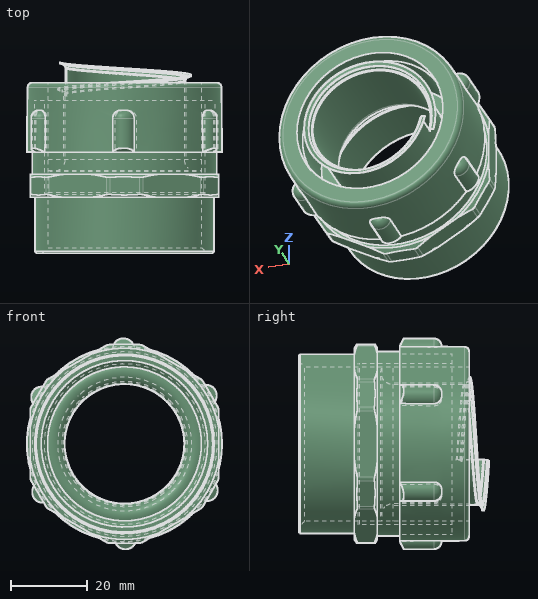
import cadquery as cq
import math


spigot_dia = 46.9
spigot_chamfer_radial = 0.4
spigot_chamfer_axial = 0.5
bore_dia = 40.25
mouth_dia = 43.5
mouth_depth = 1.5

hex_start_y = 14.6
hex_width = 6.0
hex_end_y = hex_start_y + hex_width
hex_across_flats = 49.3
hex_across_blunted_corners = 51.9
hex_edge_fillet = 2.0
hex_face_dia = 50.0
hex_chamfer_axial = 0.6

collar_dia = 48.3
collar_end_y = 26.4
rear_dia = 47.2
rear_end_y = 40.0

sleeve_recess_y = 15.4
sleeve_gap = 0.5
sleeve_start_y = sleeve_recess_y + sleeve_gap
sleeve_inner_dia = bore_dia
sleeve_outer_dia = 42.0

cap_start_y = collar_end_y
cap_end_y = 44.6
cap_front_dia = 51.1
cap_rear_dia = 50.75
cap_edge_fillet = 1.3
cap_hole_dia = sleeve_inner_dia

rib_count = 6
rib_tip_radius = 27.58
rib_radius = 2.85
rib_end_y = 37.4
rib_end_fillet = 2.1
rib_slope_axial = 1.1
rib_clocking = 0.6

tube_inner_dia = 31.2
tube_outer_dia = 32.0
nose_radius = 3.2
nose_center_y = 24.6
spiral_pitch = 7.1
spiral_end_angle = 195.0
spiral_top_y = 49.87
lip_radial = 1.5
lip_axial = 1.65
lip_knee_radial = 0.4
lip_knee_drop = 0.4
lip_thickness = 0.3
trim_margin = 1.0


def revolved(points):
    """Ring about the Y axis from a closed outline of (radius, y) points."""
    return cq.Workplane("XY").polyline(points).close().revolve(360, (0, 0, 0), (0, 1, 0))


def make_hex_collar():
    """Hexagon with blunted corners, flats facing +X and -X, both faces chamfered."""
    base = cq.Workplane("XZ", origin=(0, hex_end_y, 0))
    corner_dia = hex_across_flats / math.cos(math.pi / 6)
    hexagon = base.polygon(6, corner_dia).extrude(hex_width)
    hexagon = hexagon.rotate((0, 0, 0), (0, 1, 0), 30)
    blunting = base.polygon(6, hex_across_blunted_corners / math.cos(math.pi / 6)).extrude(hex_width)
    prism = hexagon.intersect(blunting).edges("|Y").fillet(hex_edge_fillet)

    face_radius = hex_face_dia / 2
    corner_radius = hex_across_blunted_corners / 2
    chamfer_slope = (corner_radius - face_radius) / hex_chamfer_axial
    mid_radius = face_radius + chamfer_slope * hex_width / 2
    double_cone = revolved([
        (0, hex_start_y),
        (face_radius, hex_start_y),
        (mid_radius, hex_start_y + hex_width / 2),
        (face_radius, hex_end_y),
        (0, hex_end_y),
    ])
    return prism.intersect(double_cone)


def make_body():
    outside = revolved([
        (0, 0),
        (spigot_dia / 2 - spigot_chamfer_radial, 0),
        (spigot_dia / 2, spigot_chamfer_axial),
        (spigot_dia / 2, hex_end_y),
        (collar_dia / 2, hex_end_y),
        (collar_dia / 2, collar_end_y),
        (rear_dia / 2, collar_end_y),
        (rear_dia / 2, rear_end_y),
        (0, rear_end_y),
    ])
    bore = revolved([
        (0, 0),
        (mouth_dia / 2, 0),
        (bore_dia / 2, mouth_depth),
        (bore_dia / 2, sleeve_recess_y),
        (sleeve_outer_dia / 2, sleeve_recess_y),
        (sleeve_outer_dia / 2, rear_end_y),
        (0, rear_end_y),
    ])
    return outside.union(make_hex_collar()).cut(bore)


def make_sleeve():
    """Thin sleeve from just behind the shoulder in the body's bore to the cap's end wall."""
    return revolved([
        (sleeve_inner_dia / 2, sleeve_start_y),
        (sleeve_outer_dia / 2, sleeve_start_y),
        (sleeve_outer_dia / 2, rear_end_y),
        (sleeve_inner_dia / 2, rear_end_y),
    ])


def make_ribs():
    """Round-backed ribs with a domed rear end and a sloped front end."""
    rib = (
        cq.Workplane("XZ", origin=(0, rib_end_y, rib_tip_radius - rib_radius))
        .circle(rib_radius)
        .extrude(rib_end_y - cap_start_y)
        .faces(">Y").edges().fillet(rib_end_fillet)
    )
    envelope = revolved([
        (rear_dia / 2, cap_start_y),
        (cap_front_dia / 2, cap_start_y),
        (rib_tip_radius, cap_start_y + rib_slope_axial),
        (rib_tip_radius, cap_end_y),
        (rear_dia / 2, cap_end_y),
    ])
    rib = rib.intersect(envelope)
    spacing = 360 / rib_count
    return [rib.rotate((0, 0, 0), (0, 1, 0), i * spacing - rib_clocking) for i in range(rib_count)]


def make_cap():
    cap = revolved([
        (0, cap_start_y),
        (cap_front_dia / 2, cap_start_y),
        (cap_rear_dia / 2, cap_end_y),
        (0, cap_end_y),
    ])
    cap = cap.faces(">Y").edges().fillet(cap_edge_fillet)
    cavity = revolved([
        (0, cap_start_y),
        (rear_dia / 2, cap_start_y),
        (rear_dia / 2, rear_end_y),
        (cap_hole_dia / 2, rear_end_y),
        (cap_hole_dia / 2, cap_end_y),
        (0, cap_end_y),
    ])
    cap = cap.cut(cavity)
    for rib in make_ribs():
        cap = cap.union(rib)
    return cap


def wind(outline, start_turn, turns):
    """Sweep a closed outline up the spiral; its points are (radius, height above the lip edge).

    Turns count from the low end of the spiral, which lies directly under its high end.
    """
    path = cq.Wire.makeHelix(spiral_pitch, turns * spiral_pitch, tube_inner_dia / 2)
    swept = cq.Workplane("XZ").polyline(outline).close().sweep(cq.Workplane(path), isFrenet=True)
    low_end_y = spiral_top_y - spiral_pitch
    return (
        swept.translate((0, 0, low_end_y + start_turn * spiral_pitch))
        .rotate((0, 0, 0), (0, 0, 1), start_turn * 360 - spiral_end_angle)
        .rotate((0, 0, 0), (1, 0, 0), -90)
    )


def make_ferrule():
    """Tube with a rounded nose flange at its front and a spiral rear edge flared into a lip."""
    inner = tube_inner_dia / 2
    outer = tube_outer_dia / 2
    nose_center = inner + nose_radius
    rim = sleeve_inner_dia / 2
    rim_y = nose_center_y - math.sqrt(nose_radius ** 2 - (rim - nose_center) ** 2)
    ferrule = (
        cq.Workplane("XY")
        .moveTo(inner, nose_center_y)
        .threePointArc((nose_center, nose_center_y - nose_radius), (rim, rim_y))
        .lineTo(rim, nose_center_y)
        .lineTo(outer, nose_center_y)
        .lineTo(outer, spiral_top_y)
        .lineTo(inner, spiral_top_y)
        .close()
        .revolve(360, (0, 0, 0), (0, 1, 0))
    )

    trim_top = spiral_pitch + lip_axial
    trim = [
        (inner - trim_margin, -lip_axial),
        (outer + trim_margin, -lip_axial),
        (outer + trim_margin, trim_top),
        (inner - trim_margin, trim_top),
    ]
    for start_turn in (0, 0.5):
        ferrule = ferrule.cut(wind(trim, start_turn, 0.5))

    root = (inner + outer) / 2
    knee = outer + lip_knee_radial
    lip_edge = outer + lip_radial
    flare_slope = (lip_axial - lip_knee_drop) / (knee - inner)
    root_drop = lip_axial - flare_slope * (root - inner)
    lip = [
        (root, -root_drop - lip_thickness),
        (knee, -lip_knee_drop - lip_thickness),
        (lip_edge, -lip_thickness),
        (lip_edge, 0),
        (knee, -lip_knee_drop),
        (root, -root_drop),
    ]
    return ferrule.union(wind(lip, 0, 1))


body = make_body()
sleeve = make_sleeve()
cap = make_cap()
ferrule = make_ferrule()

result = cq.Compound.makeCompound([
    body.solids().val(),
    sleeve.solids().val(),
    cap.solids().val(),
    ferrule.solids().val(),
])